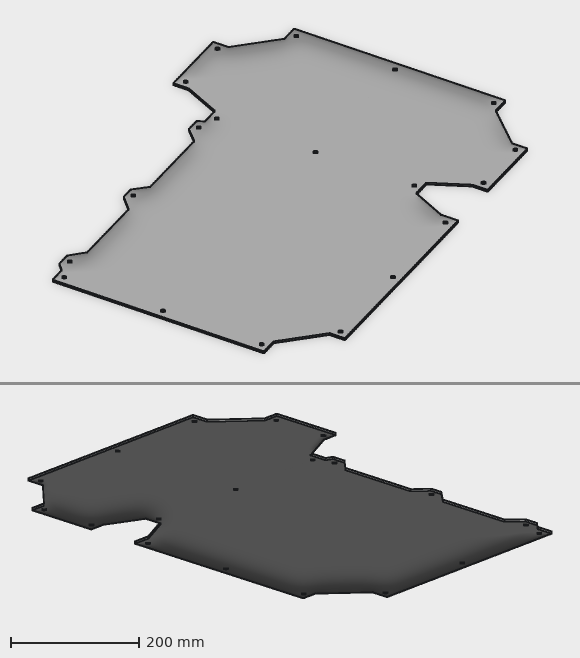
import cadquery as cq

plate_width = 565.0
plate_length = 760.0
plate_thickness = 4.0
body_width = 380.0
hole_diameter = 6.6

wing_x = plate_width / 2
body_x = body_width / 2
top_y = plate_length / 2
bottom_y = -top_y

row_end_inset = 14.75
row_side_inset = 12.5
row_x = body_x - row_side_inset
waist_y = top_y - 265.0
row_heights = (top_y - row_end_inset, waist_y, bottom_y + row_end_inset)

wing_flat = 27.5
waist_wing_flat = 31.0
slope_x = wing_x - wing_flat
waist_slope_x = wing_x - waist_wing_flat
wing_end_gap = 92.75
corner_height = 30.5
waist_half_height = 16.0
upper_wing_top_y = top_y - wing_end_gap
upper_wing_bottom_y = waist_y + 47.0
lower_wing_top_y = waist_y - 45.75
lower_wing_bottom_y = bottom_y + wing_end_gap

wing_hole_x = wing_x - 14.75
upper_wing_hole_heights = (top_y - 105.0, top_y - 205.0)
lower_wing_hole_y = top_y - 490.0
lower_wing_hole_pitch = 165.0

recess_x = -178.75
tab_x = -201.75
tab_hole_x = -190.5
left_corner_height = 29.5

upper_tab = (top_y - 285.75, top_y - 310.5)
middle_tab = (top_y - 493.5, top_y - 515.5)
lower_tab = (top_y - 693.5, top_y - 718.0)
tab_hole_heights = (top_y - 299.5, top_y - 505.0, top_y - 705.0)

end_tab_slope = 23.0
middle_tab_upper_slope = 21.25
middle_tab_lower_slope = 24.25


def outline_points():
    """Plate outline, clockwise from the top right corner of the body."""
    upper_right = [
        (body_x, top_y),
        (body_x, top_y - corner_height),
        (slope_x, upper_wing_top_y),
        (wing_x, upper_wing_top_y),
        (wing_x, upper_wing_bottom_y),
        (slope_x, upper_wing_bottom_y),
        (body_x, waist_y + waist_half_height),
        (body_x, waist_y - waist_half_height),
    ]
    lower_right = [
        (waist_slope_x, lower_wing_top_y),
        (wing_x, lower_wing_top_y),
        (wing_x, lower_wing_bottom_y),
        (slope_x, lower_wing_bottom_y),
        (body_x, bottom_y + corner_height),
        (body_x, bottom_y),
    ]
    upper_left = [(-x, y) for x, y in upper_right]
    lower_left = [
        (tab_x, upper_tab[0]),
        (tab_x, upper_tab[1]),
        (recess_x, upper_tab[1] - end_tab_slope),
        (recess_x, middle_tab[0] + middle_tab_upper_slope),
        (tab_x, middle_tab[0]),
        (tab_x, middle_tab[1]),
        (recess_x, middle_tab[1] - middle_tab_lower_slope),
        (recess_x, lower_tab[0] + end_tab_slope),
        (tab_x, lower_tab[0]),
        (tab_x, lower_tab[1]),
        (-body_x, bottom_y + left_corner_height),
        (-body_x, bottom_y),
    ]
    left_from_bottom = (upper_left + lower_left)[::-1]
    return upper_right + lower_right + left_from_bottom


def hole_points():
    """Centres of all the through holes."""
    body_holes = [(x, y) for y in row_heights for x in (-row_x, 0, row_x)]
    upper_wing_holes = [(x, y) for y in upper_wing_hole_heights for x in (-wing_hole_x, wing_hole_x)]
    lower_wing_holes = [(wing_hole_x, lower_wing_hole_y + step * lower_wing_hole_pitch) for step in (-1, 0, 1)]
    tab_holes = [(tab_hole_x, y) for y in tab_hole_heights]
    return body_holes + upper_wing_holes + lower_wing_holes + tab_holes


plate = cq.Workplane("XY").polyline(outline_points()).close().extrude(plate_thickness)
holes = cq.Workplane("XY").pushPoints(hole_points()).circle(hole_diameter / 2).extrude(plate_thickness)
result = plate.cut(holes)